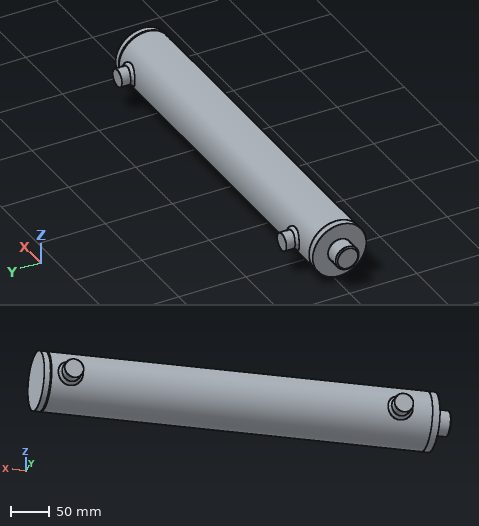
import cadquery as cq

total_length = 560.0
rod_projection = 22.5
rod_tip_x = -total_length / 2
gland_face_x = rod_tip_x + rod_projection
cap_face_x = total_length / 2

body_diameter = 80.0
body_radius = body_diameter / 2
gland_thickness = 10.0
cap_thickness = 8.5
cap_ring_width = 1.5
barrel_start_x = gland_face_x + gland_thickness
cap_start_x = cap_face_x - cap_thickness
barrel_end_x = cap_start_x - cap_ring_width

rod_diameter = 35.0
rod_chamfer_length = 1.5
rod_chamfer_depth = 2.0

overall_width = 97.0
port_diameter = 26.0
port_top_y = overall_width - body_radius
weld_leg = 4.0
first_port_from_gland_face = 54.0
port_spacing = 448.0
first_port_x = gland_face_x + first_port_from_gland_face
port_positions = [first_port_x, first_port_x + port_spacing]


def axial_disc(diameter, start_x, end_x):
    """Solid cylinder on the X axis between two X positions."""
    return cq.Workplane("YZ", origin=(start_x, 0, 0)).circle(diameter / 2).extrude(end_x - start_x)


def make_rod():
    """Rod end with a chamfered tip, butting against the gland."""
    radius = rod_diameter / 2
    tip_radius = radius - rod_chamfer_depth
    return (
        cq.Workplane("XY")
        .moveTo(rod_tip_x, 0)
        .lineTo(rod_tip_x, tip_radius)
        .lineTo(rod_tip_x + rod_chamfer_length, radius)
        .lineTo(gland_face_x, radius)
        .lineTo(gland_face_x, 0)
        .close()
        .revolve(360, (0, 0, 0), (1, 0, 0))
    )


def port_blank(x):
    """Round bar along +Y, from the cylinder axis to the top of the port."""
    return cq.Workplane("XZ", origin=(x, 0, 0)).circle(port_diameter / 2).extrude(-port_top_y)


def make_port(x):
    """Port whose foot is saddle-shaped to sit on the barrel."""
    return port_blank(x).cut(barrel)


def make_weld(x):
    """Chamfer-shaped bead filling the corner between a port and the barrel."""
    port = port_blank(x)
    port_foot = cq.selectors.BoxSelector(
        (x - port_diameter, 0, -port_diameter),
        (x + port_diameter, (body_radius + port_top_y) / 2, port_diameter),
    )
    welded = barrel.union(port).edges(port_foot).chamfer(weld_leg)
    return welded.cut(barrel).cut(port)


rod = make_rod()
gland = axial_disc(body_diameter, gland_face_x, barrel_start_x)
barrel = axial_disc(body_diameter, barrel_start_x, barrel_end_x)
cap_ring = axial_disc(body_diameter, barrel_end_x, cap_start_x)
cap = axial_disc(body_diameter, cap_start_x, cap_face_x)
ports = [make_port(x) for x in port_positions]
welds = [make_weld(x) for x in port_positions]

result = cq.Compound.makeCompound([
    rod.val(),
    gland.val(),
    barrel.val(),
    cap_ring.val(),
    cap.val(),
    *[solid for port in ports for solid in port.solids().vals()],
    *[solid for weld in welds for solid in weld.solids().vals()],
])